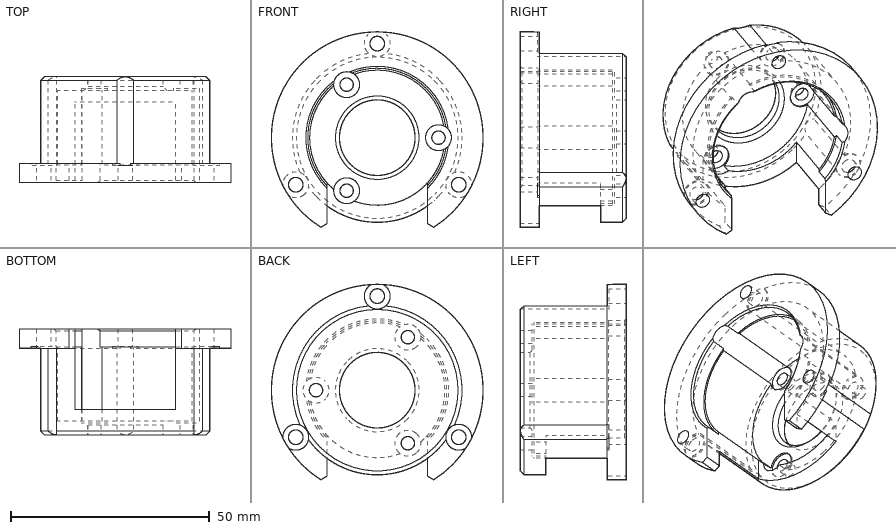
import cadquery as cq
import math

length = 26.7
flange_radius = 26.65
flange_thickness = 4.85
body_radius = 21.3
body_chamfer = 1.0

floor_thickness = 3.5
floor_depth = length - floor_thickness
opening_depth = 20.25
bore_radius = 17.0
recess_radius = 17.5
recess_depth = 4.5
mouth_chamfer = 0.5

center_hole_radius = 9.5
center_hole_chamfer = 1.0

opening_half_width = 12.65
flare_start_z = -21.65
flare_angle = 31

screw_count = 3
counterbore_radius = 3.25
counterbore_depth = 0.5
flange_screw_circle = 23.65
flange_screw_radius = 1.8
floor_screw_circle = 15.4
floor_screw_radius = 1.65


def cylinder(radius, start, end, x=0, z=0):
    """Cylinder parallel to Y, between two Y positions."""
    return cq.Workplane(cq.Solid.makeCylinder(radius, end - start, cq.Vector(x, start, z), cq.Vector(0, 1, 0)))


def screw_positions(circle_radius, first_angle):
    """X, Z positions of equally spaced screws."""
    for index in range(screw_count):
        angle = math.radians(first_angle + index * 360 / screw_count)
        yield circle_radius * math.cos(angle), circle_radius * math.sin(angle)


def make_blank():
    body = cylinder(body_radius, 0, length).faces(">Y").chamfer(body_chamfer)
    return body.union(cylinder(flange_radius, 0, flange_thickness))


def make_bore():
    """Revolved profile of the cup interior and the chamfered central hole."""
    profile = [
        (0, 0),
        (recess_radius + mouth_chamfer, 0),
        (recess_radius, mouth_chamfer),
        (recess_radius, recess_depth),
        (bore_radius, recess_depth),
        (bore_radius, floor_depth),
        (center_hole_radius + center_hole_chamfer, floor_depth),
        (center_hole_radius, floor_depth + center_hole_chamfer),
        (center_hole_radius, length),
        (0, length),
    ]
    return cq.Workplane("XY").polyline(profile).close().revolve(360, (0, 0), (0, 1))


def make_opening():
    """Straight-sided cut from the flange face to a ledge short of the cup floor, flared below."""
    flare_width = flange_radius - opening_half_width
    flare_end_z = flare_start_z - flare_width * math.tan(math.radians(flare_angle))
    outline = [
        (-opening_half_width, 0),
        (opening_half_width, 0),
        (opening_half_width, flare_start_z),
        (flange_radius, flare_end_z),
        (-flange_radius, flare_end_z),
        (-opening_half_width, flare_start_z),
    ]
    return cq.Workplane("XZ").polyline(outline).close().extrude(-opening_depth)


result = make_blank().cut(make_bore()).cut(make_opening())

for x, z in screw_positions(flange_screw_circle, 90):
    result = result.cut(cylinder(flange_screw_radius, 0, flange_thickness, x, z))
    result = result.cut(cylinder(counterbore_radius, flange_thickness - counterbore_depth, length, x, z))

for x, z in screw_positions(floor_screw_circle, 0):
    result = result.cut(cylinder(floor_screw_radius, floor_depth, length, x, z))
    result = result.cut(cylinder(counterbore_radius, 0, floor_depth + counterbore_depth, x, z))